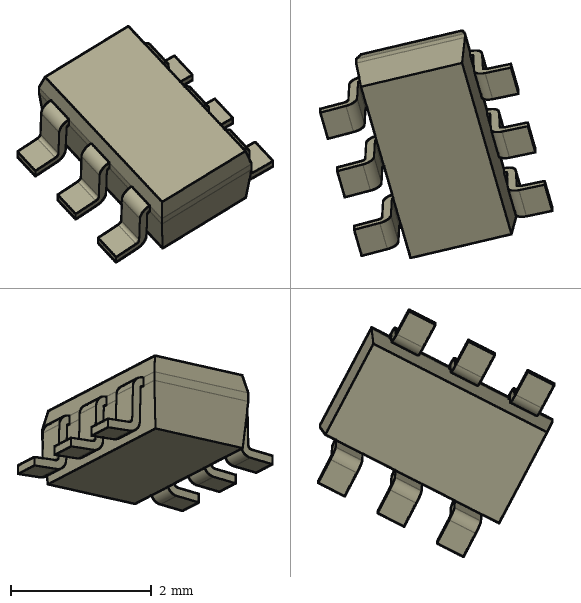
import cadquery as cq
import math

body_length = 2.9
body_width = 1.6
top_z = 1.15
bottom_z = 0.044
band_top_z = 0.873
top_inset_x = 0.07
top_inset_y = 0.058
bottom_inset_x = 0.058
bottom_inset_y = 0.058

lead_span = 2.8
lead_thickness = 0.13
lead_width = 0.425
lead_pitch = 0.95
leads_per_side = 3
shoulder_y = 0.972
leg_tilt = 1.5
foot_tilt = 3.5
inner_bend_radius = 0.044
outer_bend_radius = inner_bend_radius + lead_thickness
ankle_bend_radius = 0.058

band_bottom_z = band_top_z - lead_thickness
tip_y = lead_span / 2


def body_block(start_z, end_z, inset_x=0.0, inset_y=0.0):
    """Loft from the full body outline at start_z to an inset one at end_z."""
    return (
        cq.Workplane("XY")
        .workplane(offset=start_z)
        .rect(body_length, body_width)
        .workplane(offset=end_z - start_z)
        .rect(body_length - 2 * inset_x, body_width - 2 * inset_y)
        .loft(ruled=True)
    )


def leg_foot_corner(leg_y, foot_tip_z):
    """Point where a tilted leg face meets a tilted foot face."""
    leg_slope = math.tan(math.radians(leg_tilt))
    foot_slope = math.tan(math.radians(foot_tilt))
    drop = band_top_z - foot_tip_z
    z = foot_tip_z + foot_slope * (tip_y - leg_y - leg_slope * drop) / (1 - leg_slope * foot_slope)
    y = leg_y + leg_slope * (band_top_z - z)
    return y, z


def make_lead():
    """One lead on the +Y side, centred on X = 0 and reaching the body's mid-plane."""
    inner_leg_y = shoulder_y - lead_thickness
    outer_shoulder = (shoulder_y, band_top_z)
    inner_shoulder = (
        inner_leg_y + lead_thickness * math.tan(math.radians(leg_tilt)),
        band_bottom_z,
    )
    ankle = leg_foot_corner(shoulder_y, lead_thickness)
    heel = leg_foot_corner(inner_leg_y, 0)
    outline = [
        (0, band_top_z),
        outer_shoulder,
        ankle,
        (tip_y, lead_thickness),
        (tip_y, 0),
        heel,
        inner_shoulder,
        (0, band_bottom_z),
    ]
    lead = cq.Workplane("YZ").polyline(outline).close().extrude(lead_width / 2, both=True)
    bends = [
        (outer_shoulder, outer_bend_radius),
        (inner_shoulder, inner_bend_radius),
        (ankle, ankle_bend_radius),
        (heel, outer_bend_radius),
    ]
    for (y, z), radius in bends:
        lead = lead.edges(cq.NearestToPointSelector((0, y, z))).fillet(radius)
    return lead


result = body_block(band_bottom_z, band_top_z)
result = result.union(body_block(band_top_z, top_z, top_inset_x, top_inset_y))
result = result.union(body_block(band_bottom_z, bottom_z, bottom_inset_x, bottom_inset_y))

right_lead = make_lead()
left_lead = right_lead.mirror("XZ")
for index in range(leads_per_side):
    lead_x = (index - (leads_per_side - 1) / 2) * lead_pitch
    for lead in (right_lead, left_lead):
        result = result.union(lead.translate((lead_x, 0, 0)))